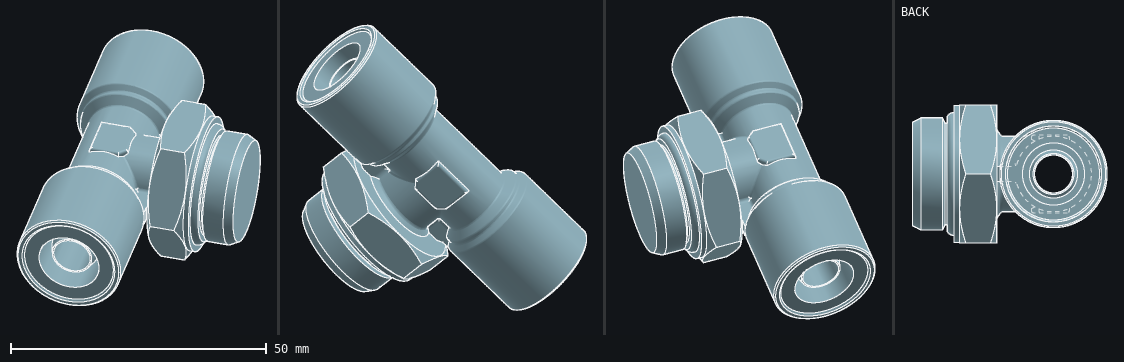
import cadquery as cq
import math

run_length = 62.0
socket_dia = 21.0
collar_dia = 18.6
body_dia = 14.8
socket_inner_y = 13.35
collar_outer_y = 12.4
collar_inner_y = 11.5
body_end_y = 10.15
shoulder_round = 0.38

rim_chamfer = 0.3
face_recess_dia = 18.0
face_recess_depth = 0.4
tube_bore_dia = 12.15
tube_bore_depth = 16.0
sleeve_dia = 9.4
sleeve_tip_dia = 8.0
sleeve_tip_depth = 2.6
sleeve_taper_length = 2.5
flow_bore_dia = 7.4

flare_start_x = 10.2
flare_dia = 17.3
flare_round = 0.6
hex_across_flats = 27.0
hex_near_x = 11.05
hex_far_x = 18.4
hex_chamfer_angle = 30.0
flange_dia = 26.8
flange_end_x = 19.45
seal_dia = 24.1
seal_end_x = 20.8
seal_drop = 0.85
relief_dia = 19.9
stud_start_x = 21.2
stud_dia = 22.0
stud_lead_in = 0.5
stud_end_x = 27.6
stud_end_dia = 20.2
stud_end_chamfer = 1.75

pad_near_x = -3.1
pad_far_x = 4.35
pad_half_width = 4.45
pad_height = 7.65
pad_corner_chamfer = 1.5
pad_edge_round = 0.6

web_inner_reach = 4.0
web_thickness = 3.0
web_blend_radius = 1.0
web_blend_sink = 0.02
web_socket_y = 12.0
web_hex_y = 10.9

valley_radius = 0.5

half_run = run_length / 2
socket_radius = socket_dia / 2
collar_radius = collar_dia / 2
body_radius = body_dia / 2


def make_run():
    half_profile = [
        (0, 0),
        (body_radius, 0),
        (body_radius, body_end_y),
        (collar_radius, collar_inner_y),
        (collar_radius, collar_outer_y),
        (socket_radius, socket_inner_y),
        (socket_radius, half_run),
        (0, half_run),
    ]
    half = cq.Workplane("XY").polyline(half_profile).close().revolve(360, (0, 0), (0, 1))
    margin = 0.5
    shoulder_zone = cq.selectors.BoxSelector(
        (-socket_dia, body_end_y - margin, -socket_dia),
        (socket_dia, socket_inner_y + margin, socket_dia),
    )
    half = half.edges("%CIRCLE").edges(shoulder_zone).fillet(shoulder_round)
    half = half.faces(">Y").edges().chamfer(rim_chamfer)
    return half.union(half.mirror("XZ"))


def make_neck():
    profile = [
        (0, 0),
        (0, body_radius),
        (flare_start_x, body_radius),
        (hex_near_x, flare_dia / 2),
        (hex_near_x, 0),
    ]
    neck = cq.Workplane("XY").polyline(profile).close().revolve(360, (0, 0), (1, 0))
    flare_zone = cq.selectors.BoxSelector(
        (body_radius, -socket_dia, -socket_dia),
        ((flare_start_x + hex_near_x) / 2, socket_dia, socket_dia),
    )
    return neck.edges("%CIRCLE").edges(flare_zone).fillet(flare_round)


def make_hexagon():
    corner_radius = hex_across_flats / math.sqrt(3)
    face_radius = flange_dia / 2
    chamfer_length = (corner_radius - face_radius) * math.tan(math.radians(hex_chamfer_angle))
    prism = (
        cq.Workplane("YZ", origin=(hex_near_x, 0, 0))
        .polygon(6, 2 * corner_radius)
        .extrude(hex_far_x - hex_near_x)
    )
    envelope_profile = [
        (hex_near_x, 0),
        (hex_near_x, face_radius),
        (hex_near_x + chamfer_length, corner_radius),
        (hex_far_x - chamfer_length, corner_radius),
        (hex_far_x, face_radius),
        (hex_far_x, 0),
    ]
    envelope = cq.Workplane("XY").polyline(envelope_profile).close().revolve(360, (0, 0), (1, 0))
    return prism.intersect(envelope)


def make_stud():
    stud_profile = [
        (seal_end_x, relief_dia / 2),
        (stud_start_x, relief_dia / 2),
        (stud_start_x + stud_lead_in, stud_dia / 2),
        (stud_end_x - stud_end_chamfer, stud_dia / 2),
        (stud_end_x, stud_end_dia / 2),
        (stud_end_x, 0),
    ]
    seal_radius = seal_dia / 2
    seal_width = seal_end_x - flange_end_x
    crown_radius = (seal_width**2 + seal_drop**2) / (2 * seal_drop)
    crown_half_angle = math.asin(seal_width / crown_radius) / 2
    crown_middle = (
        flange_end_x + crown_radius * math.sin(crown_half_angle),
        seal_radius - crown_radius * (1 - math.cos(crown_half_angle)),
    )
    return (
        cq.Workplane("XY")
        .moveTo(hex_far_x, 0)
        .lineTo(hex_far_x, flange_dia / 2)
        .lineTo(flange_end_x, flange_dia / 2)
        .lineTo(flange_end_x, seal_radius)
        .threePointArc(crown_middle, (seal_end_x, seal_radius - seal_drop))
        .polyline(stud_profile, includeCurrent=True)
        .close()
        .revolve(360, (0, 0), (1, 0))
    )


def make_pads():
    pad = (
        cq.Workplane("XY")
        .center((pad_near_x + pad_far_x) / 2, 0)
        .rect(pad_far_x - pad_near_x, 2 * pad_half_width)
        .extrude(pad_height)
        .edges("|Z and >X")
        .chamfer(pad_corner_chamfer)
        .faces(">Z")
        .edges()
        .fillet(pad_edge_round)
    )
    return pad.union(pad.mirror("XY"))


def make_web_blend(section_plane, length):
    half_thickness = web_thickness / 2
    foot_radius = body_radius - web_blend_sink
    centre_distance = foot_radius + web_blend_radius
    centre_height = half_thickness + web_blend_radius
    start_angle = math.asin(centre_height / centre_distance)
    centre_reach = centre_distance * math.cos(start_angle)
    body_point = (foot_radius * math.cos(start_angle), foot_radius * math.sin(start_angle))
    web_point = (centre_reach, half_thickness)
    middle_angle = (start_angle + math.pi + 1.5 * math.pi) / 2
    arc_middle = (
        centre_reach + web_blend_radius * math.cos(middle_angle),
        centre_height + web_blend_radius * math.sin(middle_angle),
    )
    upper = (
        section_plane.moveTo(web_inner_reach, 0)
        .lineTo(web_inner_reach, body_point[1])
        .lineTo(*body_point)
        .threePointArc(arc_middle, web_point)
        .lineTo(centre_reach, 0)
        .close()
        .extrude(length)
    )
    return upper.union(upper.mirror("XY"))


def make_webs():
    plate = (
        cq.Workplane("XY", origin=(0, 0, -web_thickness / 2))
        .polyline([
            (web_inner_reach, web_inner_reach),
            (hex_near_x, web_inner_reach),
            (hex_near_x, web_hex_y),
            (socket_radius, web_socket_y),
            (socket_radius, socket_inner_y),
            (web_inner_reach, socket_inner_y),
        ])
        .close()
        .extrude(web_thickness)
    )
    run_blend = make_web_blend(cq.Workplane("XZ"), -collar_inner_y)
    neck_blend = make_web_blend(cq.Workplane("YZ"), hex_near_x)
    web = plate.union(run_blend).union(neck_blend)
    return web.union(web.mirror("XZ"))


def make_socket_cut():
    recess_radius = face_recess_dia / 2
    recess_floor_y = half_run - face_recess_depth
    bore_floor_y = half_run - tube_bore_depth
    sleeve_tip_y = half_run - sleeve_tip_depth
    profile = [
        (0, half_run),
        (recess_radius + face_recess_depth, half_run),
        (recess_radius, recess_floor_y),
        (tube_bore_dia / 2, recess_floor_y),
        (tube_bore_dia / 2, bore_floor_y),
        (sleeve_dia / 2, bore_floor_y),
        (sleeve_dia / 2, sleeve_tip_y - sleeve_taper_length),
        (sleeve_tip_dia / 2, sleeve_tip_y),
        (flow_bore_dia / 2, sleeve_tip_y),
        (flow_bore_dia / 2, 0),
        (0, 0),
    ]
    return cq.Workplane("XY").polyline(profile).close().revolve(360, (0, 0), (0, 1))


def make_valley_blended_core():
    core = make_run().union(make_neck()).union(make_hexagon())
    valley_zone = cq.selectors.BoxSelector(
        (0, -body_radius, -socket_dia), (body_radius, body_radius, socket_dia)
    )
    valleys = core.edges("%ELLIPSE").edges(valley_zone)
    return valleys.fillet(valley_radius)


tee = make_valley_blended_core().union(make_stud()).union(make_webs()).union(make_pads())
socket_cut = make_socket_cut()
result = tee.cut(socket_cut).cut(socket_cut.mirror("XZ"))